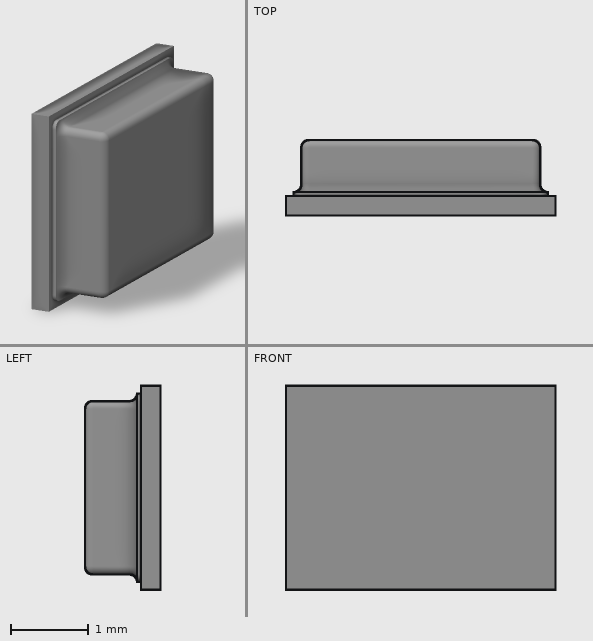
import cadquery as cq

LENGTH = 3.5
HEIGHT = 2.65
DEPTH = 0.98

BOARD_THICKNESS = 0.254
RIM_THICKNESS = 0.05

RIM_INSET = 0.1
LID_RADIUS = 0.1
RIM_WIDTH = 0.1

PAD_THICKNESS = 0.02
PAD_LENGTH = 1.04
PAD_INSET = 0.13
OUTER_PAD_HEIGHT = 0.625
MIDDLE_PAD_HEIGHT = 0.5
PIN_ONE_CHAMFER = 0.345

RIM_BACK = BOARD_THICKNESS + RIM_THICKNESS


def block(length, height, y_start, y_end):
    """Block centred on the Y axis, reaching from y_start to y_end."""
    return (
        cq.Workplane("XZ", origin=(0, y_start, 0))
        .rect(length, height)
        .extrude(y_start - y_end)
    )


def make_lid():
    """Rounded lid with a concave flare running down onto its thin rim."""
    rim_length = LENGTH - 2 * RIM_INSET
    rim_height = HEIGHT - 2 * RIM_INSET
    lid_length = rim_length - 2 * RIM_WIDTH
    lid_height = rim_height - 2 * RIM_WIDTH

    walls = block(lid_length, lid_height, BOARD_THICKNESS, DEPTH)
    walls = walls.edges("|Y").fillet(LID_RADIUS)
    walls = walls.faces(">Y").edges().fillet(LID_RADIUS)

    plate = block(LENGTH, HEIGHT, BOARD_THICKNESS, RIM_BACK)
    foot_edges = cq.selectors.BoxSelector(
        (-rim_length / 2, RIM_BACK - RIM_THICKNESS / 2, -rim_height / 2),
        (rim_length / 2, RIM_BACK + RIM_THICKNESS / 2, rim_height / 2),
        boundingbox=True,
    )
    flared = plate.union(walls).edges(foot_edges).fillet(LID_RADIUS)
    rim_outline = block(rim_length, rim_height, BOARD_THICKNESS, DEPTH)
    rim_outline = rim_outline.edges("|Y").fillet(LID_RADIUS)
    return flared.intersect(rim_outline)


def make_pad(x_side, z_centre, pad_height):
    """Solder pad flush with the board front; x_side is -1 for the left column, 1 for the right."""
    x_centre = x_side * (LENGTH / 2 - PAD_INSET - PAD_LENGTH / 2)
    pad = block(PAD_LENGTH, pad_height, 0, PAD_THICKNESS)
    return pad.translate((x_centre, 0, z_centre))


def make_pads():
    """Two columns of three pads, with the lower left one chamfered to mark pin one."""
    outer_z = HEIGHT / 2 - PAD_INSET - OUTER_PAD_HEIGHT / 2
    pin_one = make_pad(-1, -outer_z, OUTER_PAD_HEIGHT)
    pads = [pin_one.faces("<X").edges("<Z").chamfer(PIN_ONE_CHAMFER)]
    pads.append(make_pad(1, -outer_z, OUTER_PAD_HEIGHT))
    for x_side in (-1, 1):
        pads.append(make_pad(x_side, 0, MIDDLE_PAD_HEIGHT))
        pads.append(make_pad(x_side, outer_z, OUTER_PAD_HEIGHT))
    return pads


result = block(LENGTH, HEIGHT, 0, BOARD_THICKNESS).union(make_lid())
for solder_pad in make_pads():
    result = result.union(solder_pad, clean=False)